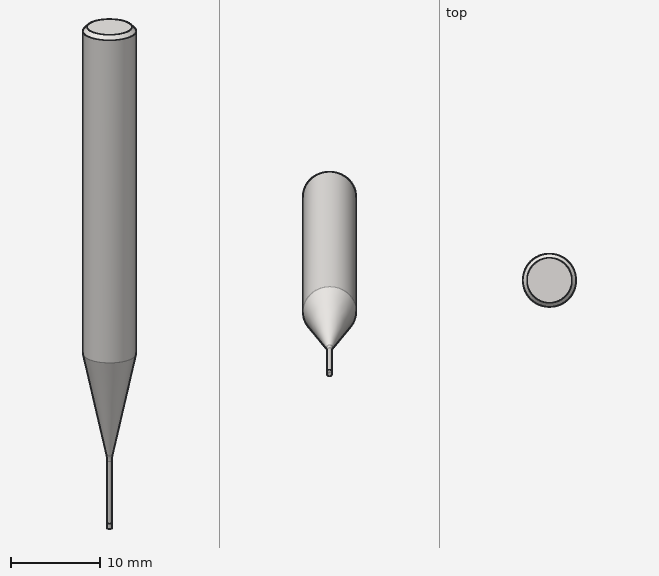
import cadquery as cq
import math

total_length = 60.0
head_length = 0.65
neck_top = 8.1
cone_bottom = 8.8
cone_top = 20.95

shank_radius = 3.0
neck_radius = 0.29
head_radius = 0.3

shank_chamfer = 0.5
corner_radius = 0.05


def make_shank():
    """Shank, cone and neck in one turning, with an arc that blends the neck into the cone."""
    blend_height = cone_bottom - neck_top
    cone_height = cone_top - cone_bottom
    settling_steps = 10
    blend_end_radius = neck_radius
    for _ in range(settling_steps):
        half_angle = math.atan2(shank_radius - blend_end_radius, cone_height)
        blend_end_radius = neck_radius + blend_height * math.tan(half_angle / 2)

    return (
        cq.Workplane("XZ")
        .moveTo(0, head_length)
        .lineTo(neck_radius, head_length)
        .lineTo(neck_radius, neck_top)
        .tangentArcPoint((blend_end_radius, cone_bottom), relative=False)
        .lineTo(shank_radius, cone_top)
        .lineTo(shank_radius, total_length - shank_chamfer)
        .lineTo(shank_radius - shank_chamfer, total_length)
        .lineTo(0, total_length)
        .close()
        .revolve(360, (0, 0, 0), (0, 1, 0))
    )


def make_cutting_head():
    """Short cylindrical cutting head with a rounded bottom corner."""
    head = cq.Workplane("XY").circle(head_radius).extrude(head_length)
    return head.faces("<Z").edges().fillet(corner_radius)


shank = make_shank()
cutting_head = make_cutting_head()

result = cq.Compound.makeCompound([shank.val(), cutting_head.val()])